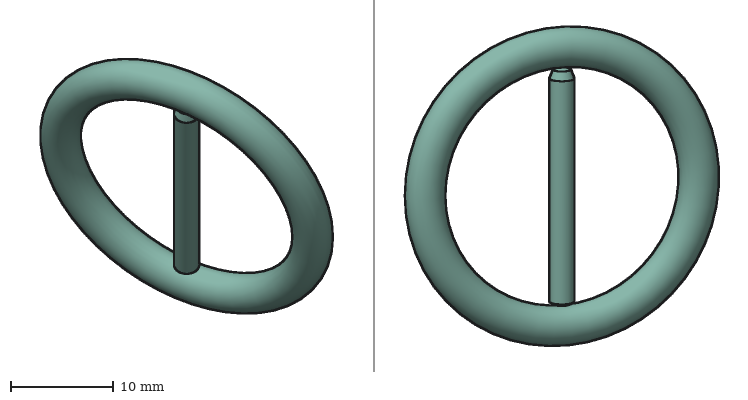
import cadquery as cq
import math

ring_outer_radius = 16.0
wire_radius = 2.0
ring_centre_radius = ring_outer_radius - wire_radius
ring_inner_radius = ring_centre_radius - wire_radius

pin_radius = 1.25
bottom_dome_height = 0.41
top_dome_height = 0.26
taper_length = 0.9
taper_end_radius = 0.9
bottom_tip_z = -ring_inner_radius
top_tip_z = ring_inner_radius
shank_bottom_z = bottom_tip_z + bottom_dome_height
taper_end_z = top_tip_z - top_dome_height
shank_top_z = taper_end_z - taper_length


def dome_middle(base_radius, tip_z, height, direction):
    """Point halfway along a spherical dome, from its base edge to its tip on the axis.

    The direction is 1 for a dome that points up and -1 for one that points down.
    """
    sphere_radius = (base_radius**2 + height**2) / (2 * height)
    half_angle = math.asin(base_radius / sphere_radius) / 2
    drop = sphere_radius * (1 - math.cos(half_angle))
    return sphere_radius * math.sin(half_angle), tip_z - direction * drop


def make_pin():
    """Revolve the half profile of the pin around Z."""
    bottom_middle = dome_middle(pin_radius, bottom_tip_z, bottom_dome_height, -1)
    top_middle = dome_middle(taper_end_radius, top_tip_z, top_dome_height, 1)
    return (
        cq.Workplane("XZ")
        .moveTo(0, bottom_tip_z)
        .threePointArc(bottom_middle, (pin_radius, shank_bottom_z))
        .lineTo(pin_radius, shank_top_z)
        .lineTo(taper_end_radius, taper_end_z)
        .threePointArc(top_middle, (0, top_tip_z))
        .close()
        .revolve(360, (0, 0), (0, 1))
    )


def make_ring():
    """Revolve the round wire section around Y."""
    return (
        cq.Workplane("XY")
        .center(ring_centre_radius, 0)
        .circle(wire_radius)
        .revolve(360, (-ring_centre_radius, 0), (-ring_centre_radius, 1))
    )


ring = make_ring()
pin = make_pin()

result = cq.Compound.makeCompound([ring.val(), pin.val()])